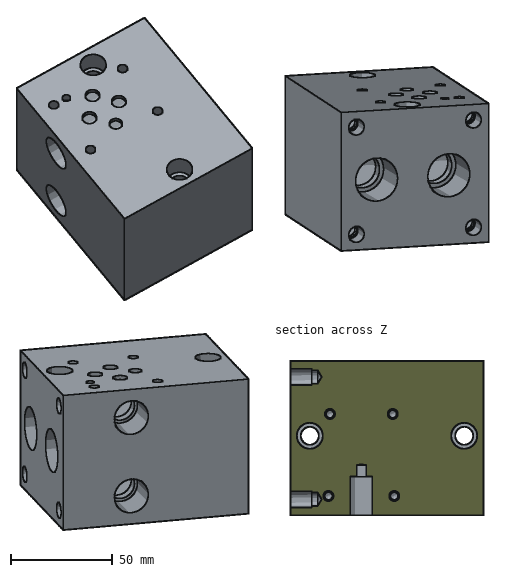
import cadquery as cq
import math

LENGTH = 95.25
WIDTH = 76.2
HEIGHT = 69.8

DRILL_POINT_ANGLE = 118.0

MAIN_PORT_Y = (20.7, 57.9)
MAIN_PORT_DIA = 21.6
MAIN_PORT_DEPTH = 23.8
MAIN_DRILL_DIA = 17.4
MAIN_DRILL_DEPTH = 30.5

CORNER_INSET = 7.9
CORNER_THREAD_DIA = 7.9
CORNER_THREAD_DEPTH = 10.5
CORNER_DRILL_DIA = 6.6
CORNER_DRILL_DEPTH = 13.3

WORK_PORT_OFFSET = 20.3
WORK_PORT_DIA = 17.3
WORK_PORT_DEPTH = 19.05
WORK_DRILL_DIA = 14.3
WORK_DRILL_DEPTH = 24.8

MOUNT_INSET = 9.5
MOUNT_Y = 39.2
MOUNT_DIA = 8.8
MOUNT_HEAD_DIA = 12.7
MOUNT_HEAD_DEPTH = 11.4

PATTERN_X = 35.0
BOLT_FRONT_Y = 9.5
BOLT_ROW_SPACING = 40.5
BOLT_FRONT_SPACING = 32.5
BOLT_REAR_SPACING = 31.0
BOLT_THREAD_DIA = 4.9
BOLT_THREAD_DEPTH = 11.4
BOLT_DRILL_DIA = 3.8
BOLT_DRILL_DEPTH = 14.3

PIN_DIA = 4.0
PIN_DEPTH = 4.8
PIN_OFFSET = 7.5

VALVE_PORT_Y = 28.6
VALVE_PORT_Y_OFFSET = 8.8
VALVE_PORT_X_OFFSET = 10.3
VALVE_PORT_DIA = 7.1
PRESSURE_PORT_DIA = 6.4
VALVE_PORT_DEPTH = 2.1

LEFT_INWARD = (1, 0, 0)
FRONT_INWARD = (0, 1, 0)
TOP_INWARD = (0, 0, -1)


def bore(start, inward, diameter, depth):
    """Flat-bottomed cylinder cutting into a face."""
    return cq.Solid.makeCylinder(diameter / 2, depth, cq.Vector(*start), cq.Vector(*inward))


def drilled_hole(start, inward, diameter, depth):
    """Cylinder to the given depth, ending in a conical drill point."""
    radius = diameter / 2
    point_length = radius / math.tan(math.radians(DRILL_POINT_ANGLE / 2))
    profile = (
        cq.Workplane("XZ")
        .polyline([(0, 0), (radius, 0), (radius, depth), (0, depth + point_length)])
        .close()
    )
    hole = profile.revolve(360, (0, 0), (0, 1))
    return hole.val().moved(cq.Plane(start, normal=inward).location)


def stepped_hole(start, inward, outer_dia, outer_depth, drill_dia, drill_depth):
    """Wide bore with a narrower drilled hole continuing from it."""
    return [
        bore(start, inward, outer_dia, outer_depth),
        drilled_hole(start, inward, drill_dia, drill_depth),
    ]


def left_face_holes():
    cutters = []
    for y in MAIN_PORT_Y:
        cutters += stepped_hole(
            (0, y, HEIGHT / 2), LEFT_INWARD,
            MAIN_PORT_DIA, MAIN_PORT_DEPTH, MAIN_DRILL_DIA, MAIN_DRILL_DEPTH,
        )
    for y in (CORNER_INSET, WIDTH - CORNER_INSET):
        for z in (CORNER_INSET, HEIGHT - CORNER_INSET):
            cutters += stepped_hole(
                (0, y, z), LEFT_INWARD,
                CORNER_THREAD_DIA, CORNER_THREAD_DEPTH, CORNER_DRILL_DIA, CORNER_DRILL_DEPTH,
            )
    return cutters


def front_face_holes():
    cutters = []
    for side in (-1, 1):
        cutters += stepped_hole(
            (PATTERN_X, 0, HEIGHT / 2 + side * WORK_PORT_OFFSET), FRONT_INWARD,
            WORK_PORT_DIA, WORK_PORT_DEPTH, WORK_DRILL_DIA, WORK_DRILL_DEPTH,
        )
    return cutters


def mounting_holes():
    cutters = []
    for x in (MOUNT_INSET, LENGTH - MOUNT_INSET):
        start = (x, MOUNT_Y, HEIGHT)
        cutters.append(bore(start, TOP_INWARD, MOUNT_DIA, HEIGHT))
        cutters.append(bore(start, TOP_INWARD, MOUNT_HEAD_DIA, MOUNT_HEAD_DEPTH))
    return cutters


def valve_bolt_holes():
    rows = (
        (BOLT_FRONT_Y, BOLT_FRONT_SPACING),
        (BOLT_FRONT_Y + BOLT_ROW_SPACING, BOLT_REAR_SPACING),
    )
    cutters = []
    for y, spacing in rows:
        for side in (-1, 1):
            cutters += stepped_hole(
                (PATTERN_X + side * spacing / 2, y, HEIGHT), TOP_INWARD,
                BOLT_THREAD_DIA, BOLT_THREAD_DEPTH, BOLT_DRILL_DIA, BOLT_DRILL_DEPTH,
            )
    return cutters


def valve_pin_hole():
    start = (PATTERN_X - BOLT_FRONT_SPACING / 2, BOLT_FRONT_Y + PIN_OFFSET, HEIGHT)
    return [drilled_hole(start, TOP_INWARD, PIN_DIA, PIN_DEPTH)]


def valve_port_holes():
    ports = (
        (0, VALVE_PORT_Y_OFFSET, VALVE_PORT_DIA),
        (0, -VALVE_PORT_Y_OFFSET, VALVE_PORT_DIA),
        (-VALVE_PORT_X_OFFSET, 0, VALVE_PORT_DIA),
        (VALVE_PORT_X_OFFSET, 0, PRESSURE_PORT_DIA),
    )
    return [
        drilled_hole((PATTERN_X + dx, VALVE_PORT_Y + dy, HEIGHT), TOP_INWARD, diameter, VALVE_PORT_DEPTH)
        for dx, dy, diameter in ports
    ]


block = cq.Workplane("XY").box(LENGTH, WIDTH, HEIGHT, centered=False)
cutters = (
    left_face_holes()
    + front_face_holes()
    + mounting_holes()
    + valve_bolt_holes()
    + valve_pin_hole()
    + valve_port_holes()
)
manifold = block.val().cut(*cutters)
result = cq.Workplane(manifold.Solids()[0])